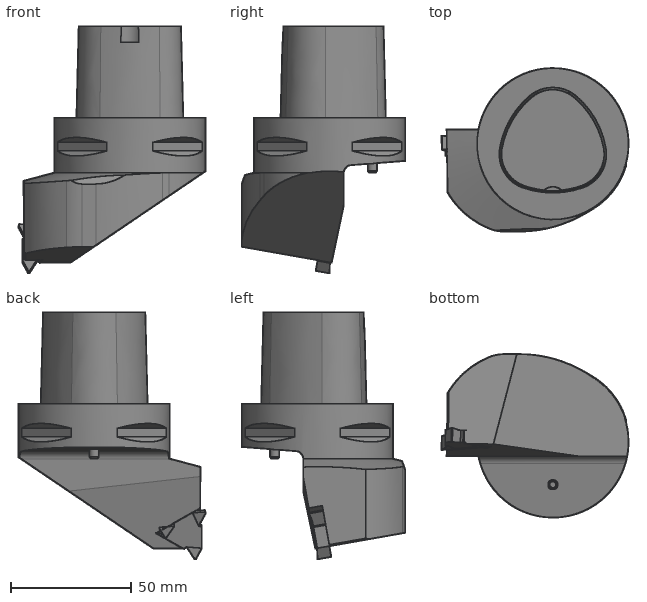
import cadquery as cq
import math


SHANK_LENGTH = 38.0
SHANK_TAPER = 1 / 20
LOBE_REACH = 23.4
LOBE_RADIUS = 14.8
LOBE_HALF_ANGLE = 40.2
LOBE_COUNT = 3
FIRST_LOBE = 90
NOTCH_RADIUS = 5.2
NOTCH_FLOOR_Y = -17.9
NOTCH_DEPTH = 6.6

FLANGE_DIAMETER = 63.0
FLANGE_RADIUS = FLANGE_DIAMETER / 2
FLANGE_HEIGHT = 22.8
GRIP_FLAT_DISTANCE = 27.9
GRIP_CENTER_Z = -12.0
GRIP_FLOOR_WIDTH = 3.5
GRIP_MOUTH_WIDTH = 7.7
GRIP_COUNT = 4
RELIEF_RIM_Z = -18.0
RELIEF_ANGLE = 4.5
RELIEF_FILLET = 3.1

BACK_Y = 6.0
SIDE_X = -44.2
SIDE_END = (-43.8, -20.1)
CORNER_START = (-26.5, -35.2)
OVERALL_DEPTH = 68.0
FRONT_Y = FLANGE_RADIUS - OVERALL_DEPTH
FRONT_FLAT_LEFT = -20.0
FRONT_FLAT_RIGHT = -14.1
BELLY_END = (13.5, -29.0)
NECK_START = (16.2, -27.3)
NECK_RADIUS = math.hypot(*NECK_START)
SHOULDER_ANGLE = 15
HEAD_FLOOR_Z = -53.6
HEAD_FLOOR_ANGLE = 10
DIAGONAL_START_Z = -22.2
DIAGONAL_ANGLE = 34.1
BROW_Z = -27.5
BROW_ANGLE = 20
RAKE_TOP_Z = -30.1
RAKE_SLOPE = 0.18
RAKE_SKEW = 0.02
SIDE_CHAMFER = 0.6

PIN_DIAMETER = 4.0
PIN_TIP_DIAMETER = 2.7
PIN_CENTER = (0, 17.8)
PIN_BOTTOM_Z = -22.8
PIN_TIP_HEIGHT = 0.7

INSERT_X = -38.4
INSERT_Z = -53.8
INSERT_INRADIUS = 6.4
INSERT_THICKNESS = 5.1
POCKET_DEPTH = 5.6
EDGE_TOP = 2.5
EDGE_BOTTOM = -6.4
TOOTH_TIP = (-3.6, -11.0)
TOOTH_TIP_WIDTH = 0.5
TOOTH_ROOT = (0.0, -5.9)
TOOTH_RISE = 0.7
INSERT_CORNERS = 3

BIG = 205.4


def polar(radius, degrees):
    angle = math.radians(degrees)
    return (radius * math.cos(angle), radius * math.sin(angle))


def turned(point, degrees):
    angle = math.radians(degrees)
    x, y = point
    return (
        x * math.cos(angle) - y * math.sin(angle),
        x * math.sin(angle) + y * math.cos(angle),
    )


def block_beyond(origin, normal, x_dir=(1, 0, 0)):
    """Large block filling the side of a plane that its normal points to."""
    plane = cq.Plane(origin=origin, xDir=x_dir, normal=normal)
    return cq.Workplane(plane).rect(BIG, BIG).extrude(BIG)


def make_shank():
    lobe_offset = LOBE_REACH - LOBE_RADIUS
    join_x, join_y = polar(LOBE_RADIUS, LOBE_HALF_ANGLE)
    lobe_start = (lobe_offset + join_x, -join_y)
    lobe_end = (lobe_offset + join_x, join_y)
    half_step = 180 / LOBE_COUNT
    join_sine = math.sin(math.radians(LOBE_HALF_ANGLE))
    flank_sine = math.sin(math.radians(half_step - LOBE_HALF_ANGLE))
    flank_radius = LOBE_RADIUS + lobe_offset * math.sin(math.radians(half_step)) / flank_sine
    flank_reach = flank_radius - lobe_offset * join_sine / flank_sine

    outline = cq.Workplane("XY").moveTo(*turned(lobe_start, FIRST_LOBE))
    for index in range(LOBE_COUNT):
        lobe = FIRST_LOBE + 2 * half_step * index
        flank = lobe + half_step
        next_lobe = flank + half_step
        outline = outline.threePointArc(polar(LOBE_REACH, lobe), turned(lobe_end, lobe))
        outline = outline.threePointArc(polar(flank_reach, flank), turned(lobe_start, next_lobe))
    taper_angle = math.degrees(math.atan(SHANK_TAPER / 2))
    shank = outline.close().extrude(SHANK_LENGTH, taper=taper_angle)

    notch = (
        cq.Workplane("XY", origin=(0, NOTCH_FLOOR_Y - NOTCH_RADIUS, SHANK_LENGTH))
        .circle(NOTCH_RADIUS)
        .extrude(-NOTCH_DEPTH)
    )
    return shank.cut(notch)


def make_gripper_groove():
    floor = GRIP_FLOOR_WIDTH / 2
    mouth = GRIP_MOUTH_WIDTH / 2
    return (
        cq.Workplane("XZ", origin=(0, 0, GRIP_CENTER_Z))
        .polyline(
            [
                (GRIP_FLAT_DISTANCE, -floor),
                (FLANGE_RADIUS, -mouth),
                (FLANGE_RADIUS, mouth),
                (GRIP_FLAT_DISTANCE, floor),
            ]
        )
        .close()
        .extrude(FLANGE_RADIUS, both=True)
    )


def make_underside_relief():
    """Material removed under the +Y half of the flange."""
    rise = (FLANGE_RADIUS - BACK_Y) * math.tan(math.radians(RELIEF_ANGLE))
    return (
        cq.Workplane("YZ")
        .polyline(
            [
                (BACK_Y, -BIG),
                (BACK_Y, RELIEF_RIM_Z - rise),
                (FLANGE_RADIUS, RELIEF_RIM_Z),
                (FLANGE_RADIUS, -BIG),
            ]
        )
        .close()
        .extrude(FLANGE_RADIUS, both=True)
        .edges(cq.selectors.NearestToPointSelector((0, BACK_Y, RELIEF_RIM_Z - rise)))
        .fillet(RELIEF_FILLET)
    )


def make_flange():
    flange = cq.Workplane("XY").circle(FLANGE_RADIUS).extrude(-FLANGE_HEIGHT)
    groove = make_gripper_groove()
    step = 360 / GRIP_COUNT
    for index in range(GRIP_COUNT):
        flange = flange.cut(groove.rotate((0, 0, 0), (0, 0, 1), step * (index + 0.5)))
    return flange.cut(make_underside_relief())


def make_coolant_pin():
    radius = PIN_DIAMETER / 2
    tip_radius = PIN_TIP_DIAMETER / 2
    embedded_top = GRIP_CENTER_Z
    return (
        cq.Workplane("XZ", origin=(*PIN_CENTER, 0))
        .polyline(
            [
                (0, embedded_top),
                (radius, embedded_top),
                (radius, PIN_BOTTOM_Z + PIN_TIP_HEIGHT),
                (tip_radius, PIN_BOTTOM_Z),
                (0, PIN_BOTTOM_Z),
            ]
        )
        .close()
        .revolve(360, (0, 0), (0, 1))
    )


def rake_y(x, z):
    return BACK_Y + RAKE_SLOPE * (z - RAKE_TOP_Z) + RAKE_SKEW * (x - SIDE_X)


def rake_plane(x, z):
    """Plane on the rake face, its normal into the holder and its Y axis up the face."""
    return cq.Plane(
        origin=(x, rake_y(x, z), z),
        xDir=(1, RAKE_SKEW, 0),
        normal=(RAKE_SKEW, -1, RAKE_SLOPE),
    )


def make_head():
    neck_end = (math.sqrt(NECK_RADIUS**2 - BACK_Y**2), BACK_Y)
    neck_turn = math.degrees(math.atan2(NECK_START[1], NECK_START[0]))
    head = (
        cq.Workplane("XY", origin=(0, 0, -FLANGE_HEIGHT))
        .moveTo(FRONT_FLAT_RIGHT, FRONT_Y)
        .lineTo(FRONT_FLAT_LEFT, FRONT_Y)
        .tangentArcPoint(CORNER_START, relative=False)
        .tangentArcPoint(SIDE_END, relative=False)
        .lineTo(SIDE_X, BACK_Y)
        .lineTo(*neck_end)
        .threePointArc(polar(NECK_RADIUS, neck_turn / 2), NECK_START)
        .lineTo(*BELLY_END)
        .tangentArcPoint((FRONT_FLAT_RIGHT, FRONT_Y), relative=False)
        .close()
        .extrude(-BIG)
    )
    fall = (BIG - FLANGE_RADIUS) * math.tan(math.radians(SHOULDER_ANGLE))
    shoulder = (
        cq.Workplane("XZ")
        .polyline(
            [
                (0, -FLANGE_HEIGHT),
                (FLANGE_RADIUS, -FLANGE_HEIGHT),
                (BIG, -FLANGE_HEIGHT - fall),
                (BIG, -BIG),
                (0, -BIG),
            ]
        )
        .close()
        .revolve(360, (0, 0), (0, 1))
    )
    head = head.intersect(shoulder)
    slope = math.radians(HEAD_FLOOR_ANGLE)
    head = head.cut(block_beyond((0, FRONT_Y, HEAD_FLOOR_Z), (0, -math.sin(slope), -math.cos(slope))))
    side_middle_y = (BACK_Y + SIDE_END[1]) / 2
    side_floor_z = HEAD_FLOOR_Z - (side_middle_y - FRONT_Y) * math.tan(slope)
    side_edge = cq.selectors.NearestToPointSelector((SIDE_X, side_middle_y, side_floor_z))
    head = head.edges(side_edge).chamfer(SIDE_CHAMFER)
    brow = math.radians(BROW_ANGLE)
    head = head.cut(block_beyond((0, FRONT_Y, BROW_Z), (0, -math.cos(brow), math.sin(brow))))
    rake = rake_plane(SIDE_X, RAKE_TOP_Z)
    return head.cut(cq.Workplane(rake).rect(BIG, BIG).extrude(-BIG))


def make_holder(insert):
    diagonal = math.radians(DIAGONAL_ANGLE)
    underside = block_beyond(
        (FLANGE_RADIUS, 0, DIAGONAL_START_Z),
        (math.sin(diagonal), 0, -math.cos(diagonal)),
        (0, 1, 0),
    )
    holder = make_shank().union(make_flange()).union(make_head()).cut(underside)
    holder = holder.union(make_coolant_pin())
    return holder.cut(make_insert_pocket()).cut(insert)


def make_insert_pocket():
    """Triangular recess in the rake face; the tooth tips need a little more room than this."""
    step = 360 / INSERT_CORNERS
    corners = [polar(2 * INSERT_INRADIUS, step * k) for k in range(INSERT_CORNERS)]
    return (
        cq.Workplane(rake_plane(INSERT_X, INSERT_Z))
        .polyline(corners)
        .close()
        .extrude(POCKET_DEPTH)
    )


def make_insert_plate():
    step = 360 / INSERT_CORNERS
    pattern = [(-INSERT_INRADIUS, EDGE_TOP), *tooth_points()]
    outline = [turned(point, step * k) for k in range(INSERT_CORNERS) for point in pattern]
    plate = cq.Workplane("XY", origin=(0, 0, POCKET_DEPTH)).polyline(outline).close()
    return plate.extrude(-INSERT_THICKNESS)


def tooth_points():
    """Outline of the tooth that points down, from the insert edge to the notch behind the tooth."""
    half_tip = TOOTH_TIP_WIDTH / 2
    tip_x, tip_y = TOOTH_TIP
    return [
        (-INSERT_INRADIUS, EDGE_BOTTOM),
        (tip_x - half_tip, tip_y),
        (tip_x + half_tip, tip_y),
        TOOTH_ROOT,
    ]


def make_tooth_ramp():
    """Wedge on the face of the plate that thickens the tooth towards its tip."""
    face = POCKET_DEPTH - INSERT_THICKNESS
    root_y = TOOTH_ROOT[1]
    tip_y = TOOTH_TIP[1]
    wedge = (
        cq.Workplane("YZ")
        .polyline([(root_y, face), (tip_y, face - TOOTH_RISE), (tip_y, POCKET_DEPTH), (root_y, POCKET_DEPTH)])
        .close()
        .extrude(INSERT_INRADIUS, both=True)
    )
    tooth = (
        cq.Workplane("XY", origin=(0, 0, POCKET_DEPTH))
        .polyline(tooth_points())
        .close()
        .extrude(-INSERT_THICKNESS - TOOTH_RISE)
    )
    return tooth.intersect(wedge)


def make_insert():
    """Triangular plate with one pointed tooth per corner, lying on the pocket floor."""
    insert = make_insert_plate()
    ramp = make_tooth_ramp()
    step = 360 / INSERT_CORNERS
    for index in range(INSERT_CORNERS):
        insert = insert.union(ramp.rotate((0, 0, 0), (0, 0, 1), step * index))
    seat = cq.Location(rake_plane(INSERT_X, INSERT_Z))
    return cq.Workplane(insert.val().moved(seat))


insert = make_insert()
holder = make_holder(insert)

result = cq.Compound.makeCompound([holder.val(), insert.val()])